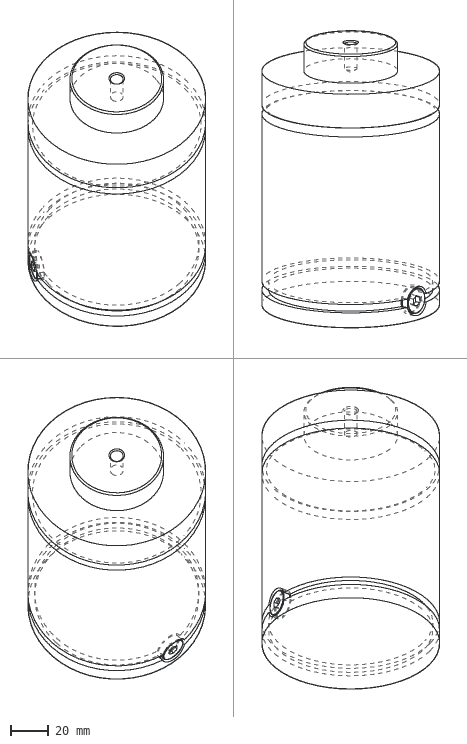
import cadquery as cq
import math

total_height = 145.0
body_diameter = 95.0
body_radius = body_diameter / 2
body_height = 129.2

rod_diameter = 50.0
rod_chamfer = 1.0
rod_hole_diameter = 6.8
rod_hole_mouth_diameter = 8.3
rod_hole_depth = 14.5
drill_point_angle = 118.0

round_groove_center = 108.0
round_groove_radius = 2.5

square_groove_bottom = 8.3
square_groove_width = 4.6
square_groove_depth = 3.6

port_height = 10.5
port_diameter = 16.0
port_floor = 42.8
plug_diameter = 14.0
plug_face = 46.8
plug_chamfer = 0.5
socket_across_flats = 5.1
socket_depth = 2.9


def make_body():
    body = cq.Workplane("XY").circle(body_radius).extrude(body_height)
    rod = (
        cq.Workplane("XY")
        .workplane(offset=body_height)
        .circle(rod_diameter / 2)
        .extrude(total_height - body_height)
        .faces(">Z")
        .chamfer(rod_chamfer)
    )
    return body.union(rod)


def make_round_groove():
    return (
        cq.Workplane("XZ")
        .center(body_radius, round_groove_center)
        .circle(round_groove_radius)
        .revolve(360, (-body_radius, 0), (-body_radius, 1))
    )


def make_square_groove():
    return (
        cq.Workplane("XY")
        .workplane(offset=square_groove_bottom)
        .circle(body_radius + square_groove_depth)
        .circle(body_radius - square_groove_depth)
        .extrude(square_groove_width)
    )


def make_rod_hole():
    """Drilled hole with a 45 degree countersink and a conical bottom."""
    radius = rod_hole_diameter / 2
    mouth_radius = rod_hole_mouth_diameter / 2
    point_length = radius / math.tan(math.radians(drill_point_angle / 2))
    floor = total_height - rod_hole_depth
    return (
        cq.Workplane("XZ")
        .moveTo(0, total_height)
        .lineTo(mouth_radius, total_height)
        .lineTo(radius, total_height - (mouth_radius - radius))
        .lineTo(radius, floor)
        .lineTo(0, floor - point_length)
        .close()
        .revolve(360, (0, 0), (0, 1))
    )


def port_plane(distance):
    """Plane facing -Y, centred on the port, at a distance from the body axis."""
    return cq.Workplane("XZ", origin=(0, -distance, port_height))


def make_port_recess():
    return port_plane(port_floor).circle(port_diameter / 2).extrude(body_radius - port_floor)


def make_plug():
    plug = (
        port_plane(port_floor)
        .circle(plug_diameter / 2)
        .extrude(plug_face - port_floor)
        .faces("<Y")
        .chamfer(plug_chamfer)
    )
    socket_across_corners = socket_across_flats / math.cos(math.pi / 6)
    socket = (
        port_plane(plug_face)
        .transformed(rotate=(0, 0, 30))
        .polygon(6, socket_across_corners)
        .extrude(-socket_depth)
    )
    return plug.cut(socket)


result = (
    make_body()
    .cut(make_round_groove())
    .cut(make_square_groove())
    .cut(make_rod_hole())
    .cut(make_port_recess())
    .union(make_plug())
)